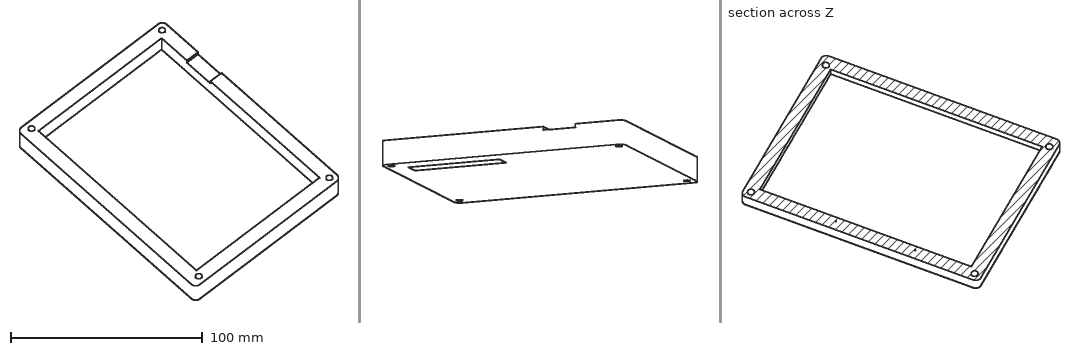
import cadquery as cq

length = 137.0
width = 103.3
total_height = 13.2
pad_height = 0.1
body_height = total_height - pad_height
corner_radius = 3.0

side_rim = 7.8
end_rim = 8.0
floor_thickness = 2.7

hole_diameter = 3.4
hole_side_inset = 4.2
hole_rear_inset = 4.2
hole_front_inset = 6.3

notch_start = 27.3
notch_length = 18.1
notch_depth = 1.9

pad_length = 51.5
pad_width = 9.0
pad_right_inset = 11.2
pad_rear_inset = 10.4


def make_body():
    """Rounded plate with its underside at Z = 0."""
    plate = cq.Workplane("XY").box(length, width, body_height, centered=(True, True, False))
    return plate.edges("|Z").fillet(corner_radius)


def make_pocket():
    pocket_depth = body_height - floor_thickness
    return (
        cq.Workplane("XY")
        .workplane(offset=floor_thickness)
        .box(length - 2 * side_rim, width - 2 * end_rim, pocket_depth, centered=(True, True, False))
    )


def make_holes():
    x_offset = length / 2 - hole_side_inset
    rear_y = width / 2 - hole_rear_inset
    front_y = -width / 2 + hole_front_inset
    centers = [(x, y) for x in (-x_offset, x_offset) for y in (front_y, rear_y)]
    return cq.Workplane("XY").pushPoints(centers).circle(hole_diameter / 2).extrude(body_height)


def make_notch():
    corner = (-length / 2 + notch_start, width / 2 - end_rim, body_height - notch_depth)
    return cq.Workplane("XY").box(notch_length, end_rim, notch_depth, centered=False).translate(corner)


def make_pad():
    center_x = length / 2 - pad_right_inset - pad_length / 2
    center_y = width / 2 - pad_rear_inset - pad_width / 2
    return cq.Workplane("XY").center(center_x, center_y).rect(pad_length, pad_width).extrude(-pad_height)


result = make_body().cut(make_pocket()).cut(make_holes()).cut(make_notch()).union(make_pad())